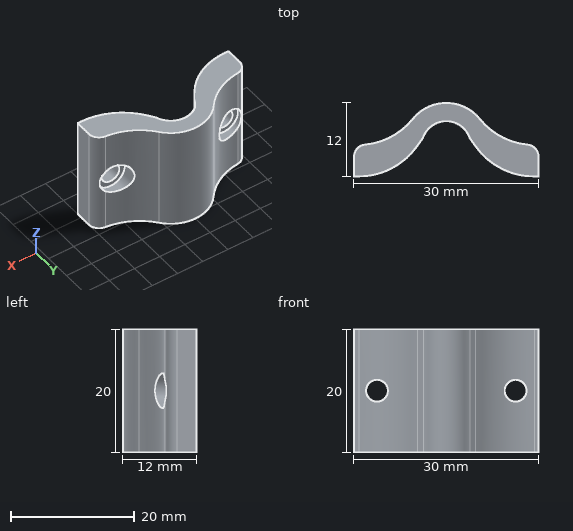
import cadquery as cq
import math

length = 30.0
depth = 11.97
height = 20.0

crown_outer_radius = 7.0
crown_inner_radius = 4.0
crown_center_y = depth - crown_outer_radius

front_wing_radius = 11.67
back_wing_radius = 11.3
foot_flat_length = 0.75
corner_radius = 2.0

flank_crown_half_width = 3.78
flank_wing_half_width = 4.7

hole_diameter = 3.5
counterbore_diameter = 5.65
counterbore_floor_y = 4.0
hole_spacing = 22.5

half_length = length / 2
wing_center_x = half_length - foot_flat_length


def on_circle(center, radius, angle):
    return (center[0] + radius * math.cos(angle), center[1] + radius * math.sin(angle))


def mirrored(point):
    return (-point[0], point[1])


crown_center = (0.0, crown_center_y)
back_center_distance = crown_outer_radius + back_wing_radius
back_angle = math.acos(wing_center_x / back_center_distance)
back_center = (wing_center_x, crown_center_y + back_center_distance * math.sin(back_angle))
back_tangent = on_circle(crown_center, crown_outer_radius, back_angle)
back_end_angle = -math.acos((half_length - wing_center_x) / back_wing_radius)
back_end = on_circle(back_center, back_wing_radius, back_end_angle)
back_start_angle = back_angle - math.pi
back_middle = on_circle(back_center, back_wing_radius, (back_start_angle + back_end_angle) / 2)

front_center = (wing_center_x, front_wing_radius)
flank_crown_angle = math.acos(flank_crown_half_width / crown_inner_radius)
flank_top = on_circle(crown_center, crown_inner_radius, flank_crown_angle)
flank_wing_angle = -math.acos((flank_wing_half_width - wing_center_x) / front_wing_radius)
flank_bottom = on_circle(front_center, front_wing_radius, flank_wing_angle)
front_middle = on_circle(front_center, front_wing_radius, (flank_wing_angle - math.pi / 2) / 2)
foot_start = (wing_center_x, 0.0)
foot_end = (half_length, 0.0)

saddle = (
    cq.Workplane("XY")
    .moveTo(*mirrored(flank_top))
    .threePointArc((0, crown_center_y + crown_inner_radius), flank_top)
    .lineTo(*flank_bottom)
    .threePointArc(front_middle, foot_start)
    .lineTo(*foot_end)
    .lineTo(*back_end)
    .threePointArc(back_middle, back_tangent)
    .threePointArc((0, depth), mirrored(back_tangent))
    .threePointArc(mirrored(back_middle), mirrored(back_end))
    .lineTo(*mirrored(foot_end))
    .lineTo(*mirrored(foot_start))
    .threePointArc(mirrored(front_middle), mirrored(flank_bottom))
    .close()
    .extrude(height)
)

for tip_x in (-half_length, half_length):
    tip_edge = cq.selectors.NearestToPointSelector((tip_x, back_end[1], height / 2))
    saddle = saddle.edges(tip_edge).fillet(corner_radius)


def hole_pair(diameter, start_y):
    """Two cylinders at mid height, running from start_y out through the back face."""
    return (
        cq.Workplane("XZ", origin=(0, start_y, height / 2))
        .rarray(hole_spacing, 0.3, 2, 1)
        .circle(diameter / 2)
        .extrude(-depth)
    )


result = saddle.cut(hole_pair(hole_diameter, 0)).cut(hole_pair(counterbore_diameter, counterbore_floor_y))